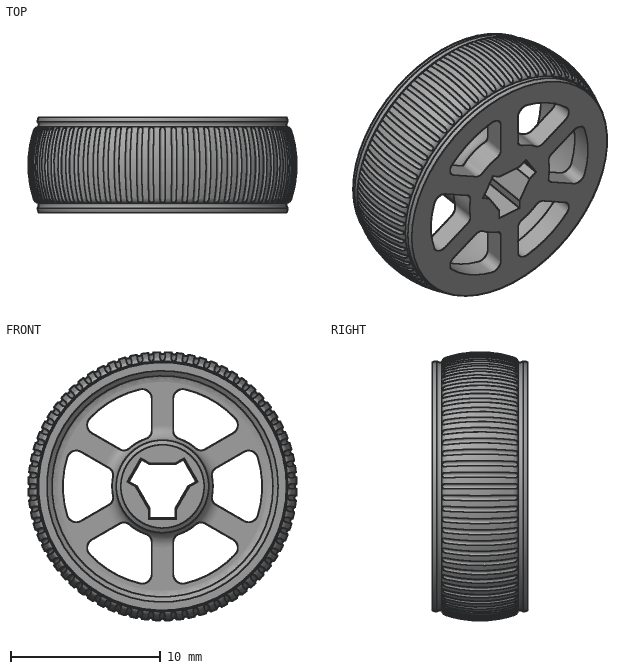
import cadquery as cq
import math

width = 6.4
half_width = width / 2

tread_radius = 9.0
crown_radius = 7.2
tread_half_width = 2.57
shoulder_radius = 0.47
groove_count = 72
groove_pitch = 360 / groove_count
groove_radius = 0.18
groove_depth = 0.13

flange_radius = 8.39
flange_face_radius = 8.3
flange_mid_radius = 8.37
flange_inner_y = 2.9
neck_radius = 8.33
neck_mid_radius = 8.32

lip_face_radius = 7.74
lip_radius = 7.4
lip_depth = 0.32
cavity_radius = 8.03
cavity_crown_radius = 7.2
web_thickness = 1.44
web_fillet = 0.99

hub_radius = 6.2 / 2
hub_chamfer_width = 0.3
hub_chamfer_depth = 0.25

spoke_count = 6
spoke_width = 1.45
window_inner_radius = 3.38
window_outer_radius = 6.66
window_inner_fillet = 0.54
window_outer_fillet = 0.63

bore_apothem = 1.57
bore_lobe_reach = 2.2
bore_wide_depth = 2.23
bore_step = 0.09
bore_step_depth = 0.18
bore_lobe_count = 3
first_lobe_angle = 30

web_front_y = half_width - web_thickness


def revolve_about_axle(profile):
    """Turn a closed profile, drawn with X as radius, about the Y axis."""
    return profile.close().revolve(360, (0, 0), (0, 1))


def arc_drop(radius, offset):
    """Fall of a circular arc below its apex at a given offset from the apex."""
    return radius - math.sqrt(radius**2 - offset**2)


def make_groove():
    """A round bar bent to the crown of the tread, at the +Z side."""
    crown_center_z = tread_radius - crown_radius
    bar_z = tread_radius - groove_depth + groove_radius
    bend = 2 * math.degrees(math.asin(tread_half_width / crown_radius))
    pivot = bar_z - crown_center_z
    return (
        cq.Workplane("XZ", origin=(0, 0, bar_z))
        .circle(groove_radius)
        .revolve(bend, (0, -pivot), (1, -pivot))
        .rotate((0, 0, crown_center_z), (1, 0, crown_center_z), -bend / 2)
    )


def make_tooth():
    """One tooth of the tread ring, standing on the neck, from mid-groove to mid-groove."""
    crown_center = tread_radius - crown_radius
    shoulder_y = tread_half_width - shoulder_radius
    shoulder_center = crown_center + math.sqrt((crown_radius - shoulder_radius) ** 2 - shoulder_y**2)

    foot_angle = math.asin((neck_radius - shoulder_center) / shoulder_radius)
    crown_angle = math.atan2(shoulder_center - crown_center, shoulder_y)

    def shoulder_point(angle, side):
        y = shoulder_y + shoulder_radius * math.cos(angle)
        return side * y, shoulder_center + shoulder_radius * math.sin(angle)

    mid_angle = (foot_angle + crown_angle) / 2
    section = (
        cq.Workplane("YZ")
        .moveTo(*shoulder_point(foot_angle, -1))
        .threePointArc(shoulder_point(mid_angle, -1), shoulder_point(crown_angle, -1))
        .threePointArc((0, tread_radius), shoulder_point(crown_angle, 1))
        .threePointArc(shoulder_point(mid_angle, 1), shoulder_point(foot_angle, 1))
        .close()
    )
    sector = section.revolve(groove_pitch, (0, 0), (1, 0))
    groove = make_groove()
    return sector.cut(groove).cut(groove.rotate((0, 0, 0), (0, 1, 0), groove_pitch))


def make_tread():
    """Grooved tread ring: the skin of one tooth repeated around the axle and closed to a solid."""
    skin = [face for face in make_tooth().faces().vals() if face.geomType() != "PLANE"]
    ring_faces = [
        face.rotate(cq.Vector(0, 0, 0), cq.Vector(0, 1, 0), i * groove_pitch)
        for i in range(groove_count)
        for face in skin
    ]
    return cq.Solid.makeSolid(cq.Shell.makeShell(ring_faces)).clean()


def make_rim_blank():
    """Solid disc with a crowned flange and a hollow neck on either side of the tread."""
    flange_mid_y = (flange_inner_y + half_width) / 2
    neck_mid_y = (tread_half_width + flange_inner_y) / 2
    profile = (
        cq.Workplane("XY")
        .moveTo(0, -half_width)
        .lineTo(flange_face_radius, -half_width)
        .threePointArc((flange_mid_radius, -flange_mid_y), (flange_radius, -flange_inner_y))
        .threePointArc((neck_mid_radius, -neck_mid_y), (neck_radius, -tread_half_width))
        .lineTo(neck_radius, tread_half_width)
        .threePointArc((neck_mid_radius, neck_mid_y), (flange_radius, flange_inner_y))
        .threePointArc((flange_mid_radius, flange_mid_y), (flange_face_radius, half_width))
        .lineTo(0, half_width)
    )
    return revolve_about_axle(profile)


def make_cavity():
    """Space between rim and hub, open at -Y and closed by the web at its +Y end."""
    lip_y = -half_width + lip_depth
    end_radius = cavity_radius - arc_drop(cavity_crown_radius, web_front_y)
    profile = (
        cq.Workplane("XY")
        .moveTo(hub_radius - hub_chamfer_width, -half_width)
        .lineTo(lip_face_radius, -half_width)
        .lineTo(lip_radius, lip_y)
        .threePointArc((cavity_radius, 0), (end_radius, web_front_y))
        .lineTo(hub_radius, web_front_y)
        .lineTo(hub_radius, -half_width + hub_chamfer_depth)
    )
    return revolve_about_axle(profile).faces(">Y").edges().fillet(web_fillet)


def make_windows():
    """Openings between the spokes: a ring parted by bars as wide as the spokes."""
    ring = (
        cq.Workplane("XZ", origin=(0, half_width, 0))
        .circle(window_outer_radius)
        .circle(window_inner_radius)
        .extrude(width)
    )
    bar = cq.Workplane("XY").box(spoke_width, 2 * width, 2 * tread_radius)
    for i in range(spoke_count // 2):
        ring = ring.cut(bar.rotate((0, 0, 0), (0, 1, 0), i * 360 / spoke_count))
    mid_radius = (window_inner_radius + window_outer_radius) / 2

    def near_hub(edge):
        return math.hypot(edge.Center().x, edge.Center().z) < mid_radius

    def near_rim(edge):
        return not near_hub(edge)

    ring = ring.edges("|Y").filter(near_hub).fillet(window_inner_fillet)
    return ring.edges("|Y").filter(near_rim).fillet(window_outer_fillet)


def bore_outline(inset):
    """Corners of the bore, moved inward by an inset, in the XZ plane."""
    apothem = bore_apothem - inset
    reach = bore_lobe_reach - inset
    half_side = apothem * math.tan(math.pi / 6)
    points = []
    for lobe in range(bore_lobe_count):
        angle = math.radians(first_lobe_angle + lobe * 360 / bore_lobe_count)
        for along, across in (
            (apothem, -half_side),
            (reach, -half_side),
            (reach, half_side),
            (apothem, half_side),
        ):
            x = along * math.cos(angle) - across * math.sin(angle)
            z = along * math.sin(angle) + across * math.cos(angle)
            points.append((x, z))
    return points


def make_bore():
    """Axle bore that tapers, partway in, to a slightly narrower outline."""
    step_y = -half_width + bore_wide_depth
    step_plane = cq.Workplane("XZ", origin=(0, step_y, 0))
    wide = step_plane.polyline(bore_outline(0)).close().extrude(bore_wide_depth)
    narrow = step_plane.polyline(bore_outline(bore_step)).close().extrude(-width)
    taper = (
        step_plane.polyline(bore_outline(0))
        .close()
        .workplane(offset=-bore_step_depth)
        .polyline(bore_outline(bore_step))
        .close()
        .loft(ruled=True)
    )
    return wide.union(taper).union(narrow)


wheel = make_rim_blank().cut(make_cavity()).cut(make_windows()).cut(make_bore())
result = wheel.union(cq.Workplane(make_tread()))